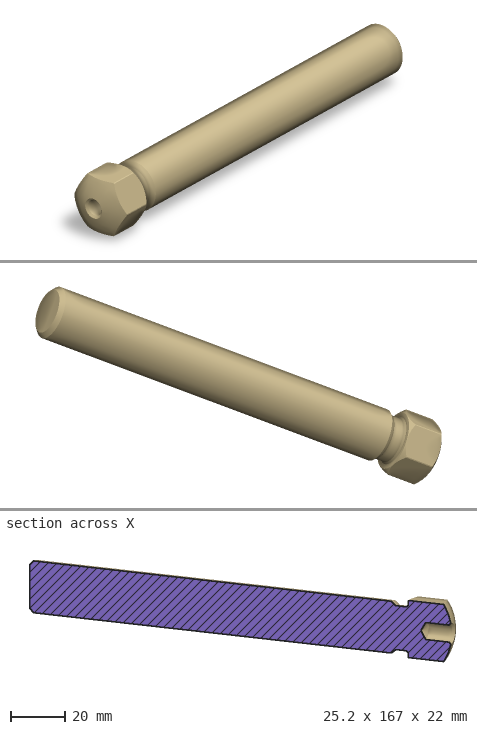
import cadquery as cq
import math

length = 167.0
head_face_y = -length / 2
shank_end_y = length / 2

shank_radius = 10.0
shank_end_chamfer = 1.7
neck_radius = 8.5
neck_length = 6.7
shank_taper_length = 1.8
neck_flare = 0.7

across_flats = 22.0
corner_diameter = 25.2
head_length = 17.0
head_back_chamfer = 1.7
dome_radius = 20.0

hole_radius = 3.2
hole_depth = 10.0
drill_point_angle = 120.0
countersink_radius = 4.0
countersink_depth = 0.8

overrun = 1.7

head_back_y = head_face_y + head_length
neck_end_y = head_back_y + neck_length
across_corners = across_flats / math.cos(math.pi / 6)
corner_radius = corner_diameter / 2


def dome_y(radius):
    """Y of the dome at a radius; the dome meets the head face at the countersink rim."""
    rim_height = math.sqrt(dome_radius**2 - countersink_radius**2)
    return head_face_y + rim_height - math.sqrt(dome_radius**2 - radius**2)


def make_head():
    hexagon = (
        cq.Workplane("XZ", origin=(0, head_back_y, 0))
        .polygon(6, across_corners)
        .extrude(head_length + overrun)
    )
    envelope = (
        cq.Workplane("XY")
        .moveTo(0, dome_y(0))
        .threePointArc(
            (corner_radius / 2, dome_y(corner_radius / 2)),
            (corner_radius, dome_y(corner_radius)),
        )
        .lineTo(corner_radius, head_back_y - head_back_chamfer)
        .lineTo(corner_radius - head_back_chamfer, head_back_y)
        .lineTo(0, head_back_y)
        .close()
        .revolve(360, (0, 0, 0), (0, 1, 0))
    )
    return hexagon.intersect(envelope)


def make_shank():
    return (
        cq.Workplane("XY")
        .moveTo(0, head_back_y)
        .lineTo(neck_radius + neck_flare, head_back_y)
        .lineTo(neck_radius, head_back_y + neck_flare)
        .lineTo(neck_radius, neck_end_y - shank_taper_length)
        .lineTo(shank_radius, neck_end_y)
        .lineTo(shank_radius, shank_end_y - shank_end_chamfer)
        .lineTo(shank_radius - shank_end_chamfer, shank_end_y)
        .lineTo(0, shank_end_y)
        .close()
        .revolve(360, (0, 0, 0), (0, 1, 0))
    )


def make_centre_hole():
    bottom_y = head_face_y + hole_depth
    point_length = hole_radius / math.tan(math.radians(drill_point_angle / 2))
    clearance_y = dome_y(0) - overrun
    return (
        cq.Workplane("XY")
        .moveTo(0, clearance_y)
        .lineTo(countersink_radius, clearance_y)
        .lineTo(countersink_radius, head_face_y)
        .lineTo(hole_radius, head_face_y + countersink_depth)
        .lineTo(hole_radius, bottom_y)
        .lineTo(0, bottom_y + point_length)
        .close()
        .revolve(360, (0, 0, 0), (0, 1, 0))
    )


result = make_head().union(make_shank()).cut(make_centre_hole())